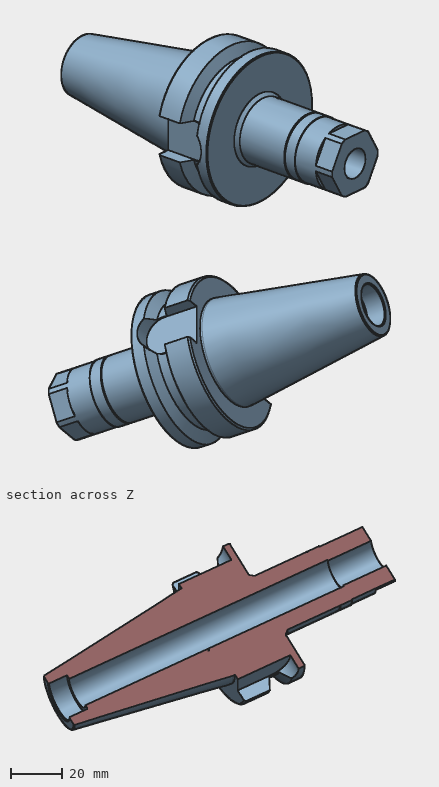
import cadquery as cq
import math

length = 141.7
taper_end = 65.3
flange_start = 66.2
groove_start = 77.4
groove_floor_start = 80.0
groove_floor_end = 84.2
groove_end = 86.7
flange_end = 92.4
neck_start = 94.1
seam_position = 117.0
collar_end = 122.6
hex_start = 133.2

taper_large_radius = 22.3
taper_slope = 7 / 48
taper_small_radius = taper_large_radius - taper_slope * taper_end
flange_radius = 31.5
groove_radius = 26.4
neck_radius = 13.9
neck_base_radius = 15.3
nut_radius = 13.6
seam_width = 0.4
seam_depth = 0.1

tip_chamfer = 0.4
flange_front_chamfer = 0.7
flange_back_chamfer = 0.4

slot_half_width = 8.4
slot_floor = 24.5
slot_end = 89.5

hex_across_flats = 24.7

bore_radius = 6.7
nose_bore_radius = 6.2
socket_radius = 8.5
socket_depth = 8.2
socket_chamfer = 0.4


def make_body():
    """Solid of revolution: taper, grooved flange, neck, collar and nut."""
    profile = [
        (0, 0),
        (0, taper_small_radius - tip_chamfer),
        (tip_chamfer, taper_small_radius + taper_slope * tip_chamfer),
        (taper_end, taper_large_radius),
        (flange_start, taper_large_radius),
        (flange_start, flange_radius - flange_front_chamfer),
        (flange_start + flange_front_chamfer, flange_radius),
        (groove_start, flange_radius),
        (groove_floor_start, groove_radius),
        (groove_floor_end, groove_radius),
        (groove_end, flange_radius),
        (flange_end - flange_back_chamfer, flange_radius),
        (flange_end, flange_radius - flange_back_chamfer),
        (flange_end, neck_base_radius),
        (neck_start, neck_radius),
        (seam_position, neck_radius),
        (seam_position, neck_radius - seam_depth),
        (seam_position + seam_width, neck_radius - seam_depth),
        (seam_position + seam_width, neck_radius),
        (collar_end, neck_radius),
        (collar_end, nut_radius),
        (length, nut_radius),
        (length, 0),
    ]
    return cq.Workplane("XZ").polyline(profile).close().revolve(360, (0, 0, 0), (1, 0, 0))


def make_drive_slot():
    """Round-ended slot cutter, open toward the taper, on the -Y side."""
    arc_center = slot_end - slot_half_width
    return (
        cq.Workplane("XZ", origin=(0, -slot_floor, 0))
        .moveTo(flange_start, -slot_half_width)
        .lineTo(arc_center, -slot_half_width)
        .threePointArc((slot_end, 0), (arc_center, slot_half_width))
        .lineTo(flange_start, slot_half_width)
        .close()
        .extrude(flange_radius - slot_floor)
    )


def make_hex_cutter():
    """Material outside the hexagon, which has flats facing +Z and -Z."""
    hex_across_corners = hex_across_flats / math.cos(math.pi / 6)
    return (
        cq.Workplane("YZ", origin=(hex_start, 0, 0))
        .circle(flange_radius)
        .polygon(6, hex_across_corners)
        .extrude(length - hex_start)
    )


def make_bore():
    """Through bore with a chamfered socket at the taper end and a narrower opening in the nut."""
    profile = [
        (0, 0),
        (0, socket_radius + socket_chamfer),
        (socket_chamfer, socket_radius),
        (socket_depth, socket_radius),
        (socket_depth, bore_radius),
        (collar_end, bore_radius),
        (collar_end, nose_bore_radius),
        (length, nose_bore_radius),
        (length, 0),
    ]
    return cq.Workplane("XZ").polyline(profile).close().revolve(360, (0, 0, 0), (1, 0, 0))


result = make_body()
drive_slot = make_drive_slot()
for side_angle in (0, 180):
    result = result.cut(drive_slot.rotate((0, 0, 0), (1, 0, 0), side_angle))
result = result.cut(make_hex_cutter())
result = result.cut(make_bore())